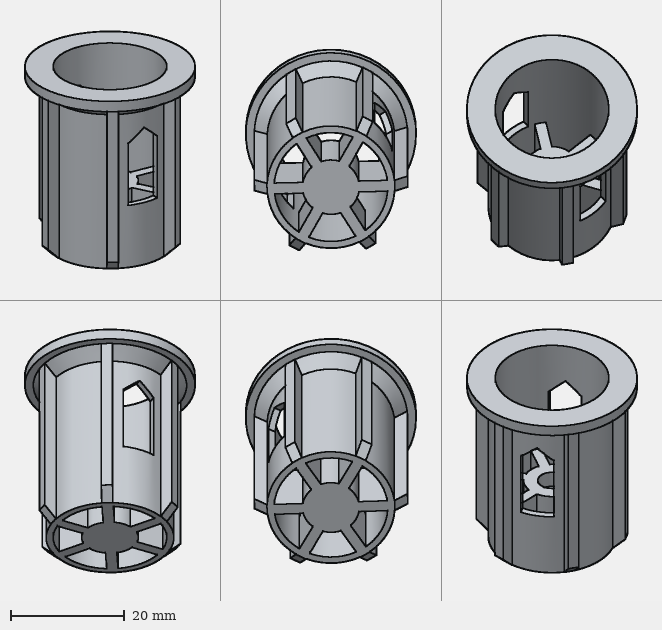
import cadquery as cq
import math

total_height = 34.0
flange_radius = 15.0
flange_thickness = 2.0
bore_radius = 10.0
wall_thickness = 1.25
sleeve_radius = bore_radius + wall_thickness
flange_underside = total_height - flange_thickness

rib_count = 6
rib_width = 2.0
rib_height = 2.25
rib_radius = sleeve_radius + rib_height
first_rib_angle = 30.0

spider_height = 12.0
hub_radius = 5.0
spoke_width = 2.0

recess_radius = 2.5
recess_depth = 3.0
pocket_radius = 1.6
pocket_flat_distance = 1.1
pocket_flat_angle = 158.0
pocket_depth = 3.0

window_width = 6.0
window_side_height = 12.0
window_gable_height = 2.5
window_bottom = spider_height
window_shoulder = window_bottom + window_side_height
window_peak = window_shoulder + window_gable_height

wall_overlap = wall_thickness / 2


def make_sleeve():
    """Open tube with a top flange carried by a conical collar."""
    profile = [
        (bore_radius, 0),
        (sleeve_radius, 0),
        (sleeve_radius, flange_underside - rib_height),
        (rib_radius, flange_underside),
        (flange_radius, flange_underside),
        (flange_radius, total_height),
        (bore_radius, total_height),
    ]
    return cq.Workplane("XZ").polyline(profile).close().revolve(360, (0, 0), (0, 1))


def make_rib(angle):
    """Flat-faced rib, bevelled at its foot, running up to the flange."""
    root_radius = sleeve_radius - wall_overlap
    profile = [
        (root_radius, 0),
        (sleeve_radius, 0),
        (rib_radius, rib_height),
        (rib_radius, flange_underside),
        (root_radius, flange_underside),
    ]
    rib = cq.Workplane("XZ").polyline(profile).close().extrude(rib_width / 2, both=True)
    return rib.rotate((0, 0, 0), (0, 0, 1), angle)


def make_spoke(angle):
    """Web from the part axis to the inside of the wall."""
    length = bore_radius + wall_overlap
    spoke = cq.Workplane("XY").box(length, spoke_width, spider_height, centered=(False, True, False))
    return spoke.rotate((0, 0, 0), (0, 0, 1), angle)


def make_hub():
    return cq.Workplane("XY").circle(hub_radius).extrude(spider_height)


def make_socket():
    """Round recess with a D-shaped pocket in its floor."""
    recess_floor = spider_height - recess_depth
    recess = cq.Workplane("XY").workplane(offset=recess_floor).circle(recess_radius).extrude(recess_depth)
    half_chord = math.sqrt(pocket_radius**2 - pocket_flat_distance**2)
    pocket = (
        cq.Workplane("XY")
        .workplane(offset=recess_floor - pocket_depth)
        .moveTo(pocket_flat_distance, half_chord)
        .threePointArc((-pocket_radius, 0), (pocket_flat_distance, -half_chord))
        .close()
        .extrude(pocket_depth)
        .rotate((0, 0, 0), (0, 0, 1), pocket_flat_angle)
    )
    return recess.union(pocket)


def make_windows():
    """Prism with a gabled top that opens both X sides of the wall."""
    half_width = window_width / 2
    outline = [
        (-half_width, window_bottom),
        (half_width, window_bottom),
        (half_width, window_shoulder),
        (0, window_peak),
        (-half_width, window_shoulder),
    ]
    return cq.Workplane("YZ").polyline(outline).close().extrude(flange_radius, both=True)


result = make_sleeve().union(make_hub())
for index in range(rib_count):
    angle = first_rib_angle + index * 360 / rib_count
    result = result.union(make_rib(angle)).union(make_spoke(angle))
result = result.cut(make_socket()).cut(make_windows())